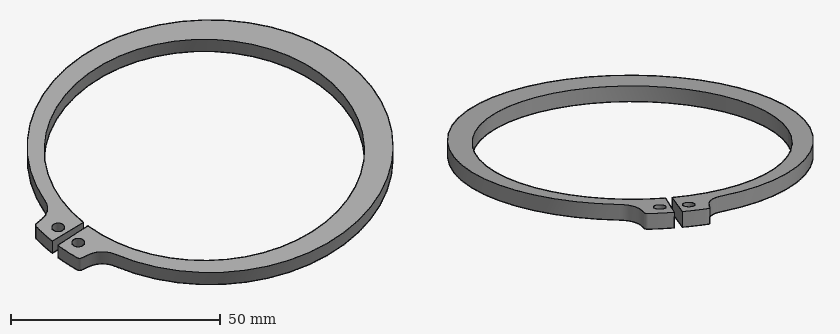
import cadquery as cq
import math

thickness = 4.0
bore_radius = 38.2
rim_diameter = 87.3
rim_radius = rim_diameter / 2
total_length = 93.5
rim_offset = 1.9
lug_tip_radius = total_length - rim_radius - rim_offset

lug_root_half_width = 9.2
lug_root_y = -bore_radius - 0.7
lug_end_half_width = 7.9
lug_end_y = -lug_tip_radius
lug_root_fillet = 5.8
lug_corner_fillet = 0.9

gap_half_width = 0.78
gap_half_width_at_tip = gap_half_width * lug_tip_radius / bore_radius
hole_diameter = 3.0
hole_x = 3.6
hole_y = -43.8


def disc(radius, center_y=0.0):
    return cq.Workplane("XY").center(0, center_y).circle(radius).extrude(thickness)


def make_lug_block():
    """Tapered block for both lugs, with a rounded tip concentric with the bore."""
    block = (
        cq.Workplane("XY")
        .polyline([
            (-lug_root_half_width, lug_root_y),
            (-lug_end_half_width, lug_end_y),
            (lug_end_half_width, lug_end_y),
            (lug_root_half_width, lug_root_y),
        ])
        .close()
        .extrude(thickness)
    )
    return block.intersect(disc(lug_tip_radius))


def fillet_near(body, x, y, radius):
    """Round the upright edges closest to (x, y) and to its mirror (-x, y)."""
    for side in (-1, 1):
        edge = cq.selectors.NearestToPointSelector((side * x, y, thickness / 2))
        body = body.edges("|Z").edges(edge).fillet(radius)
    return body


def make_gap():
    """Radial opening between the lugs, from the bore centre past the tip."""
    reach = 1.1
    half_width = gap_half_width_at_tip * reach
    end_y = lug_end_y * reach
    return (
        cq.Workplane("XY")
        .polyline([(0, 0), (-half_width, end_y), (half_width, end_y)])
        .close()
        .extrude(thickness)
    )


body = disc(rim_radius, rim_offset).union(make_lug_block())
rim_y_at_lug = rim_offset - math.sqrt(rim_radius**2 - lug_root_half_width**2)
tip_y_at_corner = -math.sqrt(lug_tip_radius**2 - lug_end_half_width**2)
body = fillet_near(body, lug_root_half_width, rim_y_at_lug, lug_root_fillet)
body = fillet_near(body, lug_end_half_width, tip_y_at_corner, lug_corner_fillet)

plier_holes = (
    cq.Workplane("XY")
    .pushPoints([(-hole_x, hole_y), (hole_x, hole_y)])
    .circle(hole_diameter / 2)
    .extrude(thickness)
)
result = body.cut(disc(bore_radius)).cut(make_gap()).cut(plier_holes)